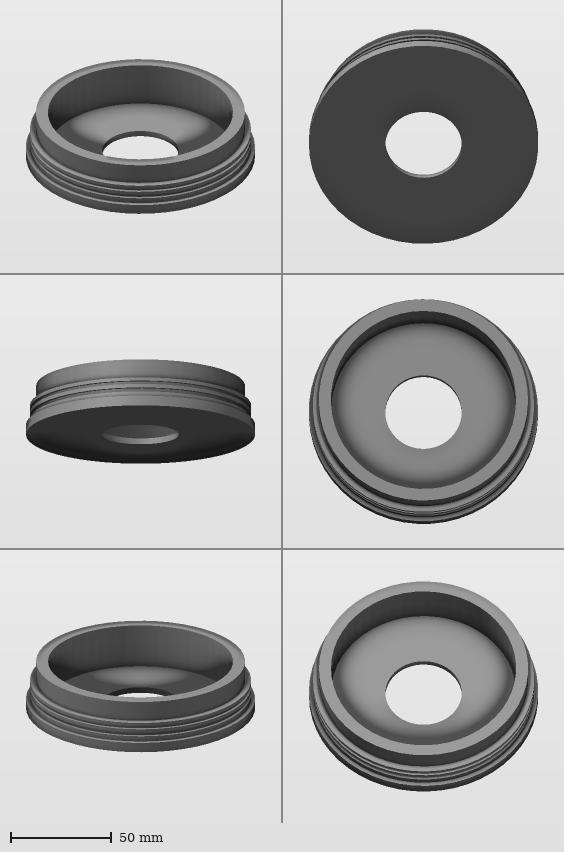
import cadquery as cq

height = 25.0
flange_diameter = 114.0
flange_height = 5.0

band_diameter = 110.0
groove_diameter = 107.0
band_top = 14.9
lower_groove_bottom = 7.8
lower_groove_top = 9.7
upper_groove_bottom = 11.5
upper_groove_top = 13.2

neck_diameter = 104.0
cavity_diameter = 92.0
floor_thickness = 3.0
hole_diameter = 38.0


def disc(diameter, bottom, top):
    """Solid cylinder on the Z axis between two heights."""
    return cq.Workplane("XY").workplane(offset=bottom).circle(diameter / 2).extrude(top - bottom)


def ring_groove(bottom, top):
    """Ring to remove from the band, down to the groove diameter."""
    return disc(flange_diameter, bottom, top).cut(disc(groove_diameter, bottom, top))


body = disc(neck_diameter, 0, height)
body = body.union(disc(band_diameter, 0, band_top))
body = body.union(disc(flange_diameter, 0, flange_height))

body = body.cut(ring_groove(lower_groove_bottom, lower_groove_top))
body = body.cut(ring_groove(upper_groove_bottom, upper_groove_top))

body = body.cut(disc(cavity_diameter, floor_thickness, height))
result = body.cut(disc(hole_diameter, 0, floor_thickness))